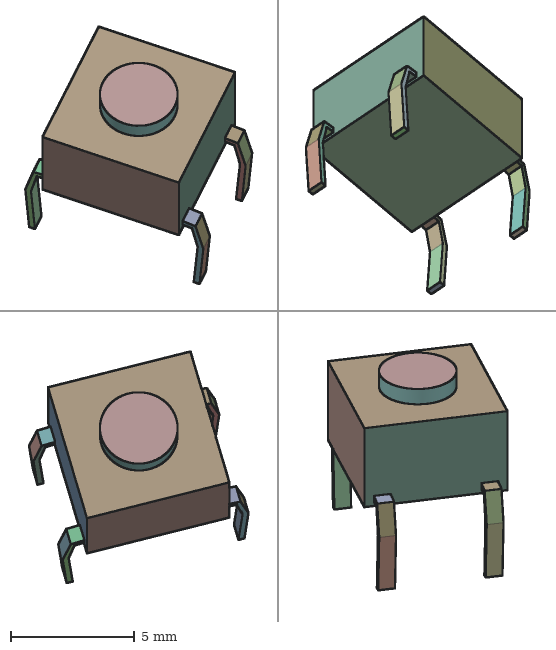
import cadquery as cq

total_height = 7.82
pin_span = 7.81

housing_side = 5.99
housing_bottom = 3.49

button_diameter = 3.15
button_height = 0.7
housing_top = total_height - button_height

pin_width = 0.7
pin_pitch = 4.5
root_x = housing_side / 2
root_top = 3.96
root_bottom = 3.71
shoulder_outer_x = 3.565
shoulder_outer_z = 3.895
shoulder_inner_x = 3.41
shoulder_inner_z = 3.66
knee_outer_x = pin_span / 2
knee_inner_x = 3.65
knee_z = 2.52
tip_outer_x = 3.74
tip_inner_x = 3.48


def make_housing():
    """Plain square block."""
    height = housing_top - housing_bottom
    base = cq.Workplane("XY").workplane(offset=housing_bottom)
    return base.rect(housing_side, housing_side).extrude(height)


def make_button():
    """Round button resting on the housing top."""
    base = cq.Workplane("XY").workplane(offset=housing_top)
    return base.circle(button_diameter / 2).extrude(button_height)


def make_pin(side, center_y):
    """Bent pin that starts flush on the +X (side = 1) or -X (side = -1) housing wall."""
    profile = [
        (root_x, root_top),
        (shoulder_outer_x, shoulder_outer_z),
        (knee_outer_x, knee_z),
        (tip_outer_x, 0),
        (tip_inner_x, 0),
        (knee_inner_x, knee_z),
        (shoulder_inner_x, shoulder_inner_z),
        (root_x, root_bottom),
    ]
    outline = [(side * x, z) for x, z in profile]
    plane = cq.Workplane("XZ", origin=(0, center_y, 0))
    return plane.polyline(outline).close().extrude(pin_width / 2, both=True)


housing = make_housing()
button = make_button()
pins = [make_pin(side, row * pin_pitch / 2) for side in (-1, 1) for row in (-1, 1)]

result = cq.Compound.makeCompound([housing.val(), button.val(), *[pin.val() for pin in pins]])